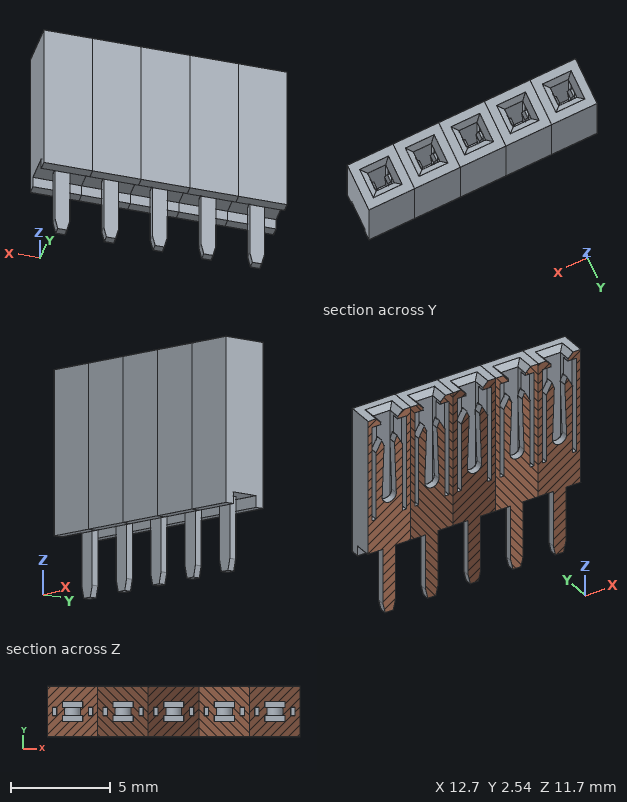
import cadquery as cq


module_count = 5
pitch = 2.54

block_height = 8.5
foot_width = 0.5
foot_height = 0.6

entry_size = 1.6
socket_size = 1.0
funnel_depth = 0.3
floor_height = 2.54

strip_thickness = 0.41
relief_width = 2.01
relief_drop = 0.15
fork_width = 1.6
fork_height = 4.57
tip_spacing = 0.9
throat_width = 0.6
lead_in_depth = 0.38
shoulder_drop = 0.64
gap_radius = 0.41
web_height = 0.76

pin_width = 0.77
pin_length = 3.2
pin_tip_width = 0.5
pin_tip_length = 0.6

funnel_bottom = block_height - funnel_depth
relief_top = funnel_bottom - relief_drop


def strip_extrude(profile):
    """Give an XZ outline the thickness of the strip, centred on y = 0."""
    return profile.extrude(strip_thickness / 2, both=True)


def make_block():
    block = cq.Workplane("XY").box(pitch, pitch, block_height, centered=(True, True, False))
    channel_width = pitch - 2 * foot_width
    channel = cq.Workplane("XY").box(pitch, channel_width, foot_height, centered=(True, True, False))
    return block.cut(channel)


def make_socket():
    """Funnel, square well, and the narrow relief that clears the contact arms."""
    funnel = (
        cq.Workplane("XY", origin=(0, 0, funnel_bottom))
        .rect(socket_size, socket_size)
        .workplane(offset=funnel_depth)
        .rect(entry_size, entry_size)
        .loft(ruled=True)
    )
    well = (
        cq.Workplane("XY", origin=(0, 0, floor_height))
        .rect(socket_size, socket_size)
        .extrude(funnel_bottom - floor_height)
    )
    relief = (
        cq.Workplane("XY", origin=(0, 0, floor_height))
        .rect(relief_width, strip_thickness)
        .extrude(relief_top - floor_height)
    )
    return funnel.union(well).union(relief)


def make_fork():
    """Two-armed spring fork standing on the floor of the well."""
    tip_z = floor_height + fork_height
    gap_bottom = floor_height + web_height
    gap_center = gap_bottom + gap_radius
    throat_z = tip_z - lead_in_depth
    shoulder_z = tip_z - shoulder_drop
    profile = (
        cq.Workplane("XZ")
        .moveTo(-fork_width / 2, floor_height)
        .lineTo(-fork_width / 2, shoulder_z)
        .lineTo(-tip_spacing / 2, tip_z)
        .lineTo(-throat_width / 2, throat_z)
        .lineTo(-gap_radius, gap_center)
        .threePointArc((0, gap_bottom), (gap_radius, gap_center))
        .lineTo(throat_width / 2, throat_z)
        .lineTo(tip_spacing / 2, tip_z)
        .lineTo(fork_width / 2, shoulder_z)
        .lineTo(fork_width / 2, floor_height)
        .close()
    )
    return strip_extrude(profile)


def make_pin():
    """Solder pin from the floor of the well down to its tapered tip."""
    profile = (
        cq.Workplane("XZ")
        .moveTo(-pin_width / 2, floor_height)
        .lineTo(-pin_width / 2, pin_tip_length - pin_length)
        .lineTo(-pin_tip_width / 2, -pin_length)
        .lineTo(pin_tip_width / 2, -pin_length)
        .lineTo(pin_width / 2, pin_tip_length - pin_length)
        .lineTo(pin_width / 2, floor_height)
        .close()
    )
    return strip_extrude(profile)


def make_module():
    return make_block().cut(make_socket()).union(make_fork()).union(make_pin())


module = make_module()
modules = []
for index in range(module_count):
    offset = (index - (module_count - 1) / 2) * pitch
    modules.append(module.translate((offset, 0, 0)).val())

result = cq.Compound.makeCompound(modules)